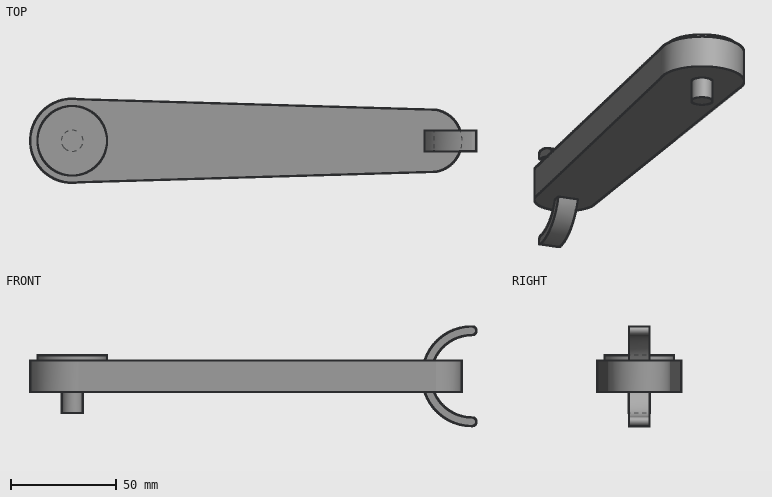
import cadquery as cq
import math

arm_thickness = 15.0
pivot_diameter = 40.0
pivot_radius = pivot_diameter / 2
tip_radius = 15.0
tip_x = 170.0
pivot_joint_x = 3.2
tip_joint_x = tip_x + 2.8

cap_radius = 16.5
cap_height = 2.5
pin_radius = 5.0
pin_length = 10.0

fork_width = 10.0
fork_outer_radius = 23.7
fork_thickness = 4.2
fork_inner_radius = fork_outer_radius - fork_thickness
fork_middle_radius = fork_outer_radius - fork_thickness / 2
overall_length = 212
fork_end_x = overall_length - pivot_radius
fork_x = fork_end_x - fork_thickness / 2


def make_arm():
    pivot_joint_y = math.sqrt(pivot_radius**2 - pivot_joint_x**2)
    tip_joint_y = math.sqrt(tip_radius**2 - (tip_joint_x - tip_x) ** 2)
    return (
        cq.Workplane("XY", origin=(0, 0, -arm_thickness / 2))
        .moveTo(pivot_joint_x, -pivot_joint_y)
        .lineTo(tip_joint_x, -tip_joint_y)
        .threePointArc((tip_x + tip_radius, 0), (tip_joint_x, tip_joint_y))
        .lineTo(pivot_joint_x, pivot_joint_y)
        .threePointArc((-pivot_radius, 0), (pivot_joint_x, -pivot_joint_y))
        .close()
        .extrude(arm_thickness)
    )


def make_cap():
    return cq.Workplane("XY", origin=(0, 0, arm_thickness / 2)).circle(cap_radius).extrude(cap_height)


def make_pin():
    return cq.Workplane("XY", origin=(0, 0, -arm_thickness / 2)).circle(pin_radius).extrude(-pin_length)


def make_fork():
    """Half ring with a rounded end on each prong."""
    return (
        cq.Workplane("XZ", origin=(0, fork_width / 2, 0))
        .moveTo(fork_x, fork_outer_radius)
        .threePointArc((fork_x - fork_outer_radius, 0), (fork_x, -fork_outer_radius))
        .threePointArc((fork_end_x, -fork_middle_radius), (fork_x, -fork_inner_radius))
        .threePointArc((fork_x - fork_inner_radius, 0), (fork_x, fork_inner_radius))
        .threePointArc((fork_end_x, fork_middle_radius), (fork_x, fork_outer_radius))
        .close()
        .extrude(fork_width)
    )


result = make_arm().union(make_cap()).union(make_pin()).union(make_fork())